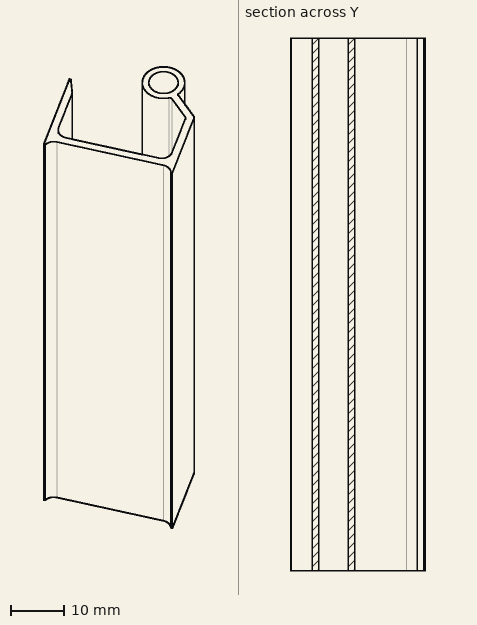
import cadquery as cq
import math

width = 25.2
depth = 25.3
length = 100.0

wall = 1.5
floor_bottom = 1.3
floor_top = floor_bottom + wall
inner_corner_radius = 2.0

lip_tip = 0.3
lip_radius = 2.0

left_wall_top = 17.2
taper_start = 14.0
taper_tip = 0.3

tube_diameter = 8.0
bore_diameter = 5.5
tube_x = 17.2
tube_y = depth - tube_diameter / 2
arm_corner_y = 14.6
arm_fillet = 0.5

inner_right = width - wall
inner_bend_y = arm_corner_y - wall * math.tan(math.pi / 8)


def extrude(sketch):
    """Extrude a closed profile over the full length."""
    return sketch.extrude(length)


def make_channel():
    """U channel with a tapered left wall and two concave lips under the floor."""
    arc_run = math.sqrt(lip_radius**2 - (lip_radius - floor_bottom) ** 2)
    arc_center_x = lip_tip + arc_run
    arc_center_y = floor_bottom - lip_radius
    tip_angle = math.acos(arc_run / lip_radius)
    mid_angle = (tip_angle + math.pi / 2) / 2
    mid_x = arc_center_x - lip_radius * math.cos(mid_angle)
    mid_y = arc_center_y + lip_radius * math.sin(mid_angle)

    profile = (
        cq.Workplane("XY")
        .moveTo(0, 0)
        .lineTo(lip_tip, 0)
        .threePointArc((mid_x, mid_y), (arc_center_x, floor_bottom))
        .lineTo(width - arc_center_x, floor_bottom)
        .threePointArc((width - mid_x, mid_y), (width - lip_tip, 0))
        .lineTo(width, 0)
        .lineTo(width, arm_corner_y)
        .lineTo(inner_right, inner_bend_y)
        .lineTo(inner_right, floor_top)
        .lineTo(wall, floor_top)
        .lineTo(wall, taper_start)
        .lineTo(taper_tip, left_wall_top)
        .lineTo(0, left_wall_top)
        .close()
    )
    return extrude(profile)


def make_arm():
    """Arm rising at 45 degrees from the right wall into the tube."""
    rise = tube_y - arm_corner_y - wall
    profile = cq.Workplane("XY").polyline(
        [
            (width, arm_corner_y),
            (width - rise, arm_corner_y + rise),
            (inner_right - rise, inner_bend_y + rise),
            (inner_right, inner_bend_y),
        ]
    )
    return extrude(profile.close())


def make_cylinder(diameter):
    """Full-length cylinder on the tube axis."""
    return extrude(cq.Workplane("XY").center(tube_x, tube_y).circle(diameter / 2))


def fillet_edge(body, x, y, radius):
    """Round the lengthwise edge passing through (x, y)."""
    reach = 0.2
    near_edge = cq.selectors.BoxSelector(
        (x - reach, y - reach, 0),
        (x + reach, y + reach, length),
    )
    return body.edges("|Z").edges(near_edge).fillet(radius)


def arm_root():
    """Point where the arm's inner face meets the outside of the tube."""
    offset = (tube_x + tube_y - inner_right - inner_bend_y) / math.sqrt(2)
    along = math.sqrt((tube_diameter / 2) ** 2 - offset**2)
    x = tube_x + (along - offset) / math.sqrt(2)
    y = tube_y - (along + offset) / math.sqrt(2)
    return x, y


body = make_channel().union(make_arm()).union(make_cylinder(tube_diameter))
body = fillet_edge(body, *arm_root(), arm_fillet)
for corner_x in (wall, inner_right):
    body = fillet_edge(body, corner_x, floor_top, inner_corner_radius)
result = body.cut(make_cylinder(bore_diameter))